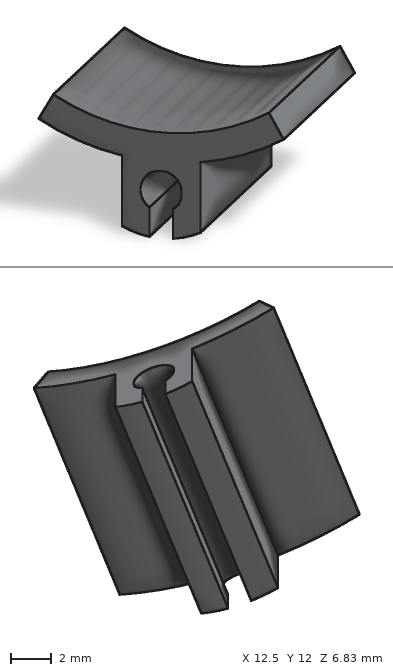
import cadquery as cq
import math

length = 12.0
inner_radius = 11.0
thickness = 1.5
outer_radius = inner_radius + thickness
half_angle = math.radians(30)

stem_width = 4.0
underside_radius = 4.5
underside_center_z = -11.9

bore_radius = 1.05
bore_center_z = -14.0
slot_width = 1.2


def arc_point(radius, angle):
    """Point at the given angle from straight down, on a circle about the origin."""
    return (radius * math.sin(angle), -radius * math.cos(angle))


def extrude_along_y(profile):
    """Extrude an XZ profile over the full length, centred on Y = 0."""
    return profile.extrude(length / 2, both=True)


def make_saddle():
    profile = (
        cq.Workplane("XZ")
        .moveTo(*arc_point(inner_radius, -half_angle))
        .threePointArc(arc_point(inner_radius, 0), arc_point(inner_radius, half_angle))
        .lineTo(*arc_point(outer_radius, half_angle))
        .threePointArc(arc_point(outer_radius, 0), arc_point(outer_radius, -half_angle))
        .close()
    )
    return extrude_along_y(profile)


def make_stem():
    half_width = stem_width / 2
    top_z = -(inner_radius + thickness / 2)
    corner_z = underside_center_z - math.sqrt(underside_radius**2 - half_width**2)
    profile = (
        cq.Workplane("XZ")
        .moveTo(-half_width, top_z)
        .lineTo(-half_width, corner_z)
        .threePointArc((0, underside_center_z - underside_radius), (half_width, corner_z))
        .lineTo(half_width, top_z)
        .close()
    )
    return extrude_along_y(profile)


def make_channel():
    bore = extrude_along_y(cq.Workplane("XZ").center(0, bore_center_z).circle(bore_radius))
    slot_depth = bore_center_z - (underside_center_z - underside_radius)
    slot = extrude_along_y(
        cq.Workplane("XZ").center(0, bore_center_z - slot_depth / 2).rect(slot_width, slot_depth)
    )
    return bore.union(slot)


result = make_saddle().union(make_stem()).cut(make_channel())